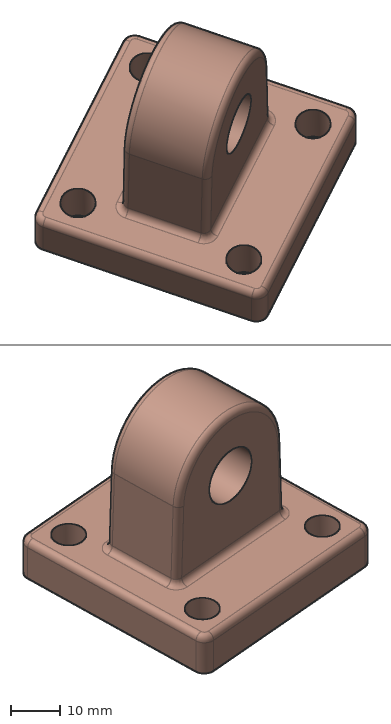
import cadquery as cq
import math

base_side = 50.8
base_thickness = 9.5
base_corner_radius = 2.55
edge_radius = 1.5

mount_spacing = 36.3
mount_diameter = 7.1

total_height = 44.3
lug_width = 19.0
lug_radius = 15.75
lug_draft = math.radians(2)
pin_diameter = 12.8
pin_height = total_height - lug_radius

zone_height = 0.1


def make_base():
    """Square plate with rounded corners and a rounded top rim."""
    plate = cq.Workplane("XY").rect(base_side, base_side).extrude(base_thickness)
    plate = plate.edges("|Z").fillet(base_corner_radius)
    return plate.faces(">Z").edges().fillet(edge_radius)


def make_lug():
    """Round-topped lug whose flanks are tangent to the crown and flare downward."""
    tangent_y = lug_radius * math.cos(lug_draft)
    tangent_z = pin_height + lug_radius * math.sin(lug_draft)
    foot_y = tangent_y + (tangent_z - base_thickness) * math.tan(lug_draft)
    lug = (
        cq.Workplane("YZ")
        .moveTo(-foot_y, base_thickness)
        .lineTo(-tangent_y, tangent_z)
        .threePointArc((0, total_height), (tangent_y, tangent_z))
        .lineTo(foot_y, base_thickness)
        .close()
        .extrude(lug_width / 2, both=True)
    )
    foot_edges = cq.selectors.DirectionMinMaxSelector(cq.Vector(0, 0, 1), False)
    cheek_edges = cq.selectors.StringSyntaxSelector("<X or >X")
    return lug.edges(cheek_edges - foot_edges).fillet(edge_radius)


def blend_foot(body):
    """Fillet the inside corner where the lug meets the plate."""
    zone_reach = mount_spacing / 2
    foot_zone = cq.selectors.BoxSelector(
        (-zone_reach, -zone_reach, base_thickness - zone_height / 2),
        (zone_reach, zone_reach, base_thickness + zone_height / 2),
    )
    return body.edges(foot_zone).fillet(edge_radius)


body = blend_foot(make_base().union(make_lug()))

pin_hole = (
    cq.Workplane("YZ")
    .center(0, pin_height)
    .circle(pin_diameter / 2)
    .extrude(lug_width, both=True)
)
mount_holes = (
    cq.Workplane("XY")
    .rarray(mount_spacing, mount_spacing, 2, 2)
    .circle(mount_diameter / 2)
    .extrude(base_thickness)
)
result = body.cut(pin_hole).cut(mount_holes)